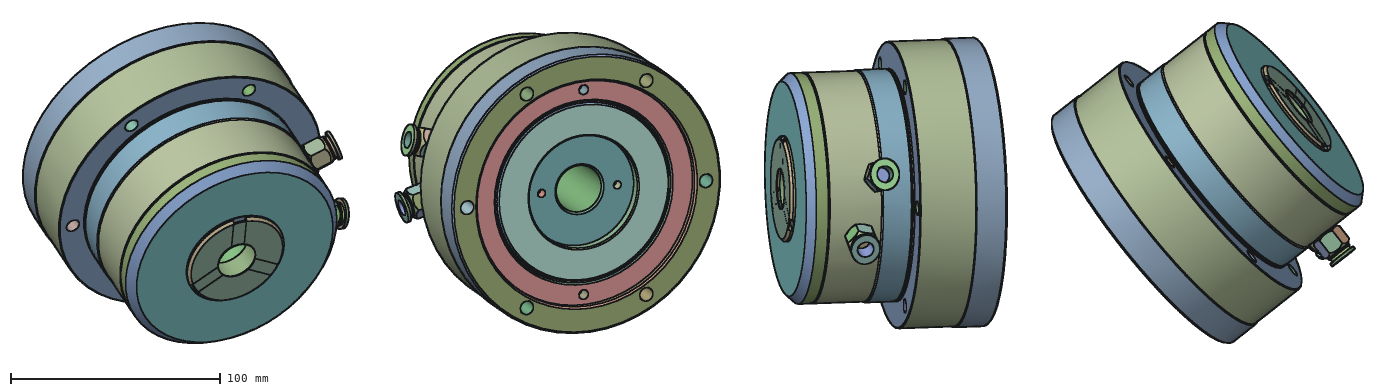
import cadquery as cq
import math


FLANGE_BACK = 15.3
DRUM_SHOULDER = 42.4
DRUM_BACK = 43.7
HOUSING_BACK = 84.0
CAP_FACE = 94.5
BOSS_BACK = 97.0

FLANGE_R = 69.0
DRUM_R = 68.6
HOUSING_FRONT_R = 55.6
HOUSING_R = 55.2
BOSS_R = 25.3

EDGE = 0.8
JOINT_EDGE = 0.4
CAP_CHAMFER_LENGTH = 4.2
CAP_CHAMFER_DROP = 3.9
BOSS_CHAMFER = 1.4
RECESS_CHAMFER = 1.0

RECESS_R = 55.9
RECESS_DEPTH = 3.8
SEAT_R = 45.1
PISTON_R = 44.2
PISTON_FACE = RECESS_DEPTH

PISTON_RECESS_R = 27.8
PISTON_RECESS_DEPTH = 5.4
PISTON_RECESS_CHAMFER = 0.7
ROD_R = 16.7
BORE_R = 11.5
BORE_CHAMFER = 1.0
LIP_R = 9.7
LIP_THICKNESS = 0.4

MOUNT_COUNT = 6
MOUNT_CIRCLE_R = 61.3
MOUNT_R = 3.3
FLANGE_TAP_CIRCLE_R = 50.9
FLANGE_TAP_R = 2.4
FLANGE_TAP_DEPTH = 8.3
PISTON_TAP_CIRCLE_R = 19.5
PISTON_TAP_R = 2.0
PISTON_TAP_DEPTH = 7.0
DRILL_POINT_ANGLE = 118

HOUSING_STEP_START = 57.7
HOUSING_STEP_END = 58.5
WINDOW_COUNT = 3
WINDOW_WIDTH = 6.7
WINDOW_TURN = 4.5
WINDOW_START = CAP_FACE + 0.4
WINDOW_END = BOSS_BACK - LIP_THICKNESS

FITTING_TILT = 15
HEX_TURN = 9.6
FITTINGS = [
    (59.4, FITTING_TILT, HEX_TURN, 70.5),
    (68.7, -FITTING_TILT, -HEX_TURN, 70.0),
]
FITTING_BASE = 55.8
HEX_TOP = 65.4
HEX_CORNER_R = 7.8
HEX_CHAMFER_DROP = 1.1
HEX_CHAMFER_R = 6.8
COLLAR_LONG_R = 7.7
COLLAR_SHORT_R = 7.0
COLLAR_THICKNESS = 1.5
NECK_R = 5.5
SHOULDER_R = 6.1
SHOULDER_LENGTH = 0.8
NECK_LENGTH = 1.5
FITTING_BORE_R = 3.9
FITTING_BORE_DEPTH = 9.7
STEM_R = 4.2
STEM_DEPTH = 5.5


def turned(points):
    """Revolve an outline of (x, radius) points about the X axis."""
    return cq.Workplane("XY").polyline(points).close().revolve(360, (0, 0, 0), (1, 0, 0))


def rod(x_start, x_end, radius, y=0.0, z=0.0):
    """A cylinder parallel to X."""
    return (
        cq.Workplane("YZ", origin=(x_start, 0, 0)).center(y, z).circle(radius).extrude(x_end - x_start)
    )


def blind_hole(x_start, depth, radius, y, z):
    """A drilled hole along +X with a conical end."""
    point = radius / math.tan(math.radians(DRILL_POINT_ANGLE / 2))
    outline = [
        (x_start, 0),
        (x_start, radius),
        (x_start + depth, radius),
        (x_start + depth + point, 0),
    ]
    return turned(outline).translate((0, y, z))


def drill_mounting_holes(body):
    """Cut the ring of through holes shared by the flange and the drum."""
    for index in range(MOUNT_COUNT):
        angle = math.radians(index * 360 / MOUNT_COUNT)
        y = MOUNT_CIRCLE_R * math.cos(angle)
        z = MOUNT_CIRCLE_R * math.sin(angle)
        body = body.cut(rod(0, DRUM_SHOULDER, MOUNT_R, y, z))
    return body


def make_flange():
    """Front ring with a stepped opening, mounting holes and two tapped holes."""
    body = turned([
        (0, RECESS_R + RECESS_CHAMFER),
        (0, FLANGE_R - EDGE),
        (EDGE, FLANGE_R),
        (FLANGE_BACK - JOINT_EDGE, FLANGE_R),
        (FLANGE_BACK, FLANGE_R - JOINT_EDGE),
        (FLANGE_BACK, SEAT_R),
        (RECESS_DEPTH + EDGE, SEAT_R),
        (RECESS_DEPTH, SEAT_R + EDGE),
        (RECESS_DEPTH, RECESS_R),
        (RECESS_CHAMFER, RECESS_R),
    ])
    for z in (FLANGE_TAP_CIRCLE_R, -FLANGE_TAP_CIRCLE_R):
        body = body.cut(blind_hole(RECESS_DEPTH, FLANGE_TAP_DEPTH, FLANGE_TAP_R, 0, z))
    return drill_mounting_holes(body)


def make_piston():
    """Disc inside the flange with a dished face, two tapped holes and a hollow rod to the end cap."""
    floor = PISTON_FACE + PISTON_RECESS_DEPTH
    body = turned([
        (PISTON_FACE, PISTON_RECESS_R + PISTON_RECESS_CHAMFER),
        (PISTON_FACE, PISTON_R - EDGE),
        (PISTON_FACE + EDGE, PISTON_R),
        (FLANGE_BACK, PISTON_R),
        (FLANGE_BACK, ROD_R),
        (HOUSING_BACK, ROD_R),
        (HOUSING_BACK, BORE_R),
        (floor + BORE_CHAMFER, BORE_R),
        (floor, BORE_R + BORE_CHAMFER),
        (floor, PISTON_RECESS_R),
        (PISTON_FACE + PISTON_RECESS_CHAMFER, PISTON_RECESS_R),
    ])
    for y in (PISTON_TAP_CIRCLE_R, -PISTON_TAP_CIRCLE_R):
        body = body.cut(blind_hole(floor, PISTON_TAP_DEPTH, PISTON_TAP_R, y, 0))
    return body


def make_drum():
    """Large cylinder behind the flange, ending in a short spigot."""
    body = turned([
        (FLANGE_BACK, ROD_R),
        (FLANGE_BACK, DRUM_R),
        (DRUM_SHOULDER - JOINT_EDGE, DRUM_R),
        (DRUM_SHOULDER, DRUM_R - JOINT_EDGE),
        (DRUM_SHOULDER, HOUSING_FRONT_R),
        (DRUM_BACK - JOINT_EDGE, HOUSING_FRONT_R),
        (DRUM_BACK, HOUSING_FRONT_R - JOINT_EDGE),
        (DRUM_BACK, ROD_R),
    ])
    return drill_mounting_holes(body)


def make_stem():
    """Round stem along Z that fills its hole in the housing, used for both the fitting and the hole."""
    bottom = cq.Workplane("XY", origin=(0, 0, FITTING_BASE - STEM_DEPTH))
    return bottom.circle(STEM_R).extrude(STEM_DEPTH)


def make_housing():
    """Stepped cylinder that carries the two hose fittings in stem holes."""
    body = turned([
        (DRUM_BACK, ROD_R),
        (DRUM_BACK, HOUSING_FRONT_R - JOINT_EDGE),
        (DRUM_BACK + JOINT_EDGE, HOUSING_FRONT_R),
        (HOUSING_STEP_START, HOUSING_FRONT_R),
        (HOUSING_STEP_END, HOUSING_R),
        (HOUSING_BACK - JOINT_EDGE, HOUSING_R),
        (HOUSING_BACK, HOUSING_R - JOINT_EDGE),
        (HOUSING_BACK, ROD_R),
    ])
    for x, tilt, _, _ in FITTINGS:
        body = body.cut(stand_on_housing(make_stem(), x, tilt))
    return body


def make_end_cap():
    """Chamfered rear cover with a windowed boss whose bore narrows to a thin lip."""
    body = turned([
        (HOUSING_BACK, BORE_R),
        (HOUSING_BACK, HOUSING_R - JOINT_EDGE),
        (HOUSING_BACK + JOINT_EDGE, HOUSING_R),
        (CAP_FACE - CAP_CHAMFER_LENGTH, HOUSING_R),
        (CAP_FACE, HOUSING_R - CAP_CHAMFER_DROP),
        (CAP_FACE, BOSS_R),
        (BOSS_BACK - BOSS_CHAMFER, BOSS_R),
        (BOSS_BACK, BOSS_R - BOSS_CHAMFER),
        (BOSS_BACK, LIP_R),
        (WINDOW_END, LIP_R),
        (WINDOW_START, BORE_R),
    ])
    for index in range(WINDOW_COUNT):
        window = cq.Workplane("XY").box(
            WINDOW_END - WINDOW_START, WINDOW_WIDTH, BOSS_R, centered=(False, True, False)
        )
        turn = index * 360 / WINDOW_COUNT - WINDOW_TURN
        body = body.cut(window.translate((WINDOW_START, 0, 0)).rotate((0, 0, 0), (1, 0, 0), turn))
    return body


def stand_on_housing(body, x, tilt):
    """Turn a body built along Z to point radially outward at the given tilt from +Y."""
    return body.rotate((0, 0, 0), (1, 0, 0), tilt - 90).translate((x, 0, 0))


def make_fitting(x, tilt, hex_turn, tip):
    """Hexagonal push-in fitting with an oval release collar and a stem."""
    collar_bottom = tip - COLLAR_THICKNESS
    neck_bottom = collar_bottom - NECK_LENGTH
    hexagon = (
        cq.Workplane("XY", origin=(0, 0, FITTING_BASE))
        .polygon(6, 2 * HEX_CORNER_R)
        .extrude(HEX_TOP - FITTING_BASE)
        .rotate((0, 0, 0), (0, 0, 1), hex_turn)
    )
    envelope = (
        cq.Workplane("XZ")
        .polyline([
            (0, FITTING_BASE),
            (HEX_CHAMFER_R, FITTING_BASE),
            (HEX_CORNER_R, FITTING_BASE + HEX_CHAMFER_DROP),
            (HEX_CORNER_R, HEX_TOP - HEX_CHAMFER_DROP),
            (HEX_CHAMFER_R, HEX_TOP),
            (0, HEX_TOP),
        ])
        .close()
        .revolve(360, (0, 0, 0), (0, 1, 0))
    )
    shoulder = (
        cq.Workplane("XZ")
        .moveTo(0, HEX_TOP)
        .lineTo(HEX_CHAMFER_R, HEX_TOP)
        .lineTo(SHOULDER_R, neck_bottom - SHOULDER_LENGTH)
        .lineTo(SHOULDER_R, neck_bottom)
        .lineTo(NECK_R, neck_bottom)
        .lineTo(NECK_R, collar_bottom)
        .lineTo(0, collar_bottom)
        .close()
        .revolve(360, (0, 0, 0), (0, 1, 0))
    )
    collar = (
        cq.Workplane("XY", origin=(0, 0, collar_bottom))
        .ellipse(COLLAR_SHORT_R, COLLAR_LONG_R)
        .extrude(COLLAR_THICKNESS)
    )
    bore = (
        cq.Workplane("XY", origin=(0, 0, tip - FITTING_BORE_DEPTH))
        .circle(FITTING_BORE_R)
        .extrude(FITTING_BORE_DEPTH)
    )
    body = hexagon.intersect(envelope).union(shoulder).union(collar).union(make_stem()).cut(bore)
    return stand_on_housing(body, x, tilt)


flange = make_flange()
piston = make_piston()
drum = make_drum()
housing = make_housing()
end_cap = make_end_cap()
fittings = [make_fitting(*placement) for placement in FITTINGS]

result = cq.Compound.makeCompound([
    flange.val(),
    piston.val(),
    drum.val(),
    housing.val(),
    end_cap.val(),
    *[fitting.val() for fitting in fittings],
])